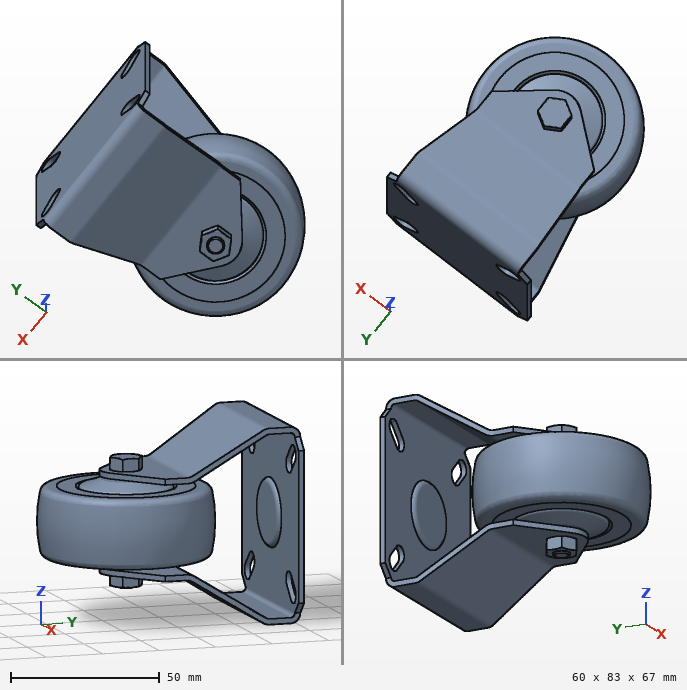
import cadquery as cq
import math


wheel_diameter = 60.0
wheel_radius = wheel_diameter / 2
wheel_half_width = 11.95
crown_radius = 49.8
tyre_edge_fillet = 2.5
hub_diameter = 46.7

cap_diameter = 32.0
cap_cone_diameter = 30.6
cap_cone_z = 12.45
cap_top_radius = 8.7
cap_top_z = 14.5
cap_seat_z = 10.0
cap_opening_diameter = 34.0

shaft_diameter = 6.0
shaft_end_diameter = 4.9
shaft_end_projection = 0.7
shoulder_diameter = 7.9
shoulder_projection = 0.25
hex_width = 10.0
hex_height = 4.5
hex_chamfer_drop = 0.25

overall_length = 83.0
sheet = 2.0
bracket_height = 67.0
bracket_half_height = bracket_height / 2
plate_back_y = overall_length - wheel_radius
plate_half_width = wheel_radius
flange_half_width = 26.0
plate_bend_radius = 3.5
flange_depth = 10.95
slope_end_depth = 38.9
bend_radius = 4.0
fork_inner_z = 15.5
fork_outer_z = fork_inner_z + sheet
fork_half_width = 22.0
fork_corner_y = 6.5
fork_tip_radius = 9.0
shoulder_hole_diameter = 8.0

slot_width = 6.0
slot_outer_offset = 24.0
slot_travel = 6.0
boss_radius = 12.0
boss_height = 1.3
boss_rim_fillet = 2.0

hex_top_z = fork_outer_z + hex_height


def make_tyre():
    """Crowned ring with rounded edges."""
    edge_drop = crown_radius - math.sqrt(crown_radius**2 - wheel_half_width**2)
    edge_radius = wheel_radius - edge_drop
    bore_radius = hub_diameter / 2
    tyre = (
        cq.Workplane("XZ")
        .moveTo(bore_radius, -wheel_half_width)
        .lineTo(edge_radius, -wheel_half_width)
        .threePointArc((wheel_radius, 0), (edge_radius, wheel_half_width))
        .lineTo(bore_radius, wheel_half_width)
        .close()
        .revolve(360, (0, 0, 0), (0, 1, 0))
    )
    outer_rims = cq.selectors.RadiusNthSelector(-1)
    return tyre.faces("<Z or >Z").edges(outer_rims).fillet(tyre_edge_fillet)


def make_hub():
    """Disc inside the tyre, with a chamfered seat for a cap on each side."""
    hub = (
        cq.Workplane("XY")
        .circle(hub_diameter / 2)
        .circle(shaft_diameter / 2)
        .extrude(wheel_half_width, both=True)
    )
    seat_depth = wheel_half_width - cap_seat_z
    seat_chamfer = (cap_opening_diameter - cap_diameter) / 2
    for side in (">Z", "<Z"):
        hub = hub.faces(side).workplane().circle(cap_diameter / 2).cutBlind(-seat_depth)
        hub = hub.faces(side).edges(cq.selectors.RadiusNthSelector(0)).chamfer(seat_chamfer)
    return hub


def make_cap():
    """Conical cover on the +Z side of the hub, with a rounded rim."""
    rim_radius = cap_diameter / 2
    cone_radius = cap_cone_diameter / 2
    bore_radius = shaft_diameter / 2
    slope = math.atan2(cap_top_z - cap_cone_z, cone_radius - cap_top_radius)
    rim_fillet = (rim_radius - cone_radius) / (1 - math.sin(slope))
    center_r = rim_radius - rim_fillet
    center_z = cap_cone_z - rim_fillet * math.cos(slope)
    mid_angle = (math.pi / 2 - slope) / 2
    arc_middle = (
        center_r + rim_fillet * math.cos(mid_angle),
        center_z + rim_fillet * math.sin(mid_angle),
    )
    return (
        cq.Workplane("XZ")
        .moveTo(bore_radius, cap_seat_z)
        .lineTo(rim_radius, cap_seat_z)
        .lineTo(rim_radius, center_z)
        .threePointArc(arc_middle, (cone_radius, cap_cone_z))
        .lineTo(cap_top_radius, cap_top_z)
        .lineTo(bore_radius, cap_top_z)
        .close()
        .revolve(360, (0, 0, 0), (0, 1, 0))
    )


def make_hex(bottom_z):
    """Hexagonal prism with corners toward +Y and -Y, both ends chamfered."""
    corner_radius = hex_width / math.sqrt(3)
    flat_radius = hex_width / 2
    prism = (
        cq.Workplane("XY")
        .workplane(offset=bottom_z)
        .transformed(rotate=(0, 0, 90))
        .polygon(6, 2 * corner_radius)
        .extrude(hex_height)
    )
    top_z = bottom_z + hex_height
    envelope = (
        cq.Workplane("XZ")
        .moveTo(0, bottom_z)
        .lineTo(flat_radius, bottom_z)
        .lineTo(corner_radius, bottom_z + hex_chamfer_drop)
        .lineTo(corner_radius, top_z - hex_chamfer_drop)
        .lineTo(flat_radius, top_z)
        .lineTo(0, top_z)
        .close()
        .revolve(360, (0, 0, 0), (0, 1, 0))
    )
    return prism.intersect(envelope)


def make_bolt():
    """Hex head above the upper fork arm, a shoulder in that arm and a long shaft."""
    shoulder_bottom_z = fork_inner_z - shoulder_projection
    shaft_end_z = -hex_top_z - shaft_end_projection
    end_chamfer = (shaft_diameter - shaft_end_diameter) / 2
    shaft = (
        cq.Workplane("XY")
        .workplane(offset=shaft_end_z)
        .circle(shaft_diameter / 2)
        .extrude(fork_outer_z - shaft_end_z)
        .faces("<Z")
        .chamfer(end_chamfer)
    )
    shoulder = (
        cq.Workplane("XY")
        .workplane(offset=shoulder_bottom_z)
        .circle(shoulder_diameter / 2)
        .extrude(fork_outer_z - shoulder_bottom_z)
    )
    return make_hex(fork_outer_z).union(shoulder).union(shaft)


def make_nut():
    """Hex nut under the lower fork arm."""
    bore = (
        cq.Workplane("XY")
        .workplane(offset=-hex_top_z)
        .circle(shaft_diameter / 2)
        .extrude(hex_height)
    )
    return make_hex(-hex_top_z).cut(bore)


def fillet_bends(body, points, radius):
    """Round the bend edges, parallel to X, that pass through the given (y, z) points and their mirrors."""
    for y, z in points:
        for side in (1, -1):
            nearest = cq.selectors.NearestToPointSelector((0, y, side * z))
            body = body.edges("|X").edges(nearest).fillet(radius)
    return body


def make_bent_sheet():
    """C-shaped strip: back plate, two flanges, two sloping webs and two fork arms."""
    drop = bracket_half_height - fork_outer_z
    run = slope_end_depth - flange_depth
    angle = 2 * math.atan2(drop, run + math.sqrt(run**2 - drop * (4 * bend_radius - drop)))
    tangent = bend_radius * math.tan(angle / 2)
    miter = sheet * math.tan(angle / 2)

    flange_corner = (plate_back_y - flange_depth - tangent, bracket_half_height)
    arm_corner = (plate_back_y - slope_end_depth + tangent, fork_outer_z)
    back_corner = (plate_back_y, bracket_half_height)
    inner_back_corner = (plate_back_y - sheet, bracket_half_height - sheet)
    inner_flange_corner = (flange_corner[0] + miter, bracket_half_height - sheet)
    inner_arm_corner = (arm_corner[0] + miter, fork_inner_z)
    upper_half = [
        inner_back_corner,
        inner_flange_corner,
        inner_arm_corner,
        (-fork_tip_radius, fork_inner_z),
        (-fork_tip_radius, fork_outer_z),
        arm_corner,
        flange_corner,
        back_corner,
    ]
    lower_half = [(y, -z) for y, z in reversed(upper_half)]
    strip = (
        cq.Workplane("YZ")
        .polyline(upper_half + lower_half)
        .close()
        .extrude(plate_half_width, both=True)
    )
    strip = fillet_bends(strip, [back_corner], plate_bend_radius)
    strip = fillet_bends(strip, [inner_back_corner], plate_bend_radius - sheet)
    strip = fillet_bends(strip, [flange_corner, arm_corner], bend_radius)
    strip = fillet_bends(strip, [inner_flange_corner], bend_radius - sheet)
    return fillet_bends(strip, [inner_arm_corner], bend_radius + sheet)


def make_plan_outline():
    """Prism along Z: full-width plate, tapered webs and fork arms rounded about the axle."""
    corner_distance = math.hypot(fork_half_width, fork_corner_y)
    tangent_angle = math.atan2(fork_corner_y, fork_half_width) - math.acos(fork_tip_radius / corner_distance)
    tangent_x = fork_tip_radius * math.cos(tangent_angle)
    tangent_y = fork_tip_radius * math.sin(tangent_angle)
    plate_front_y = plate_back_y - sheet
    taper_start_y = plate_back_y - flange_depth
    taper_end_y = plate_back_y - slope_end_depth
    return (
        cq.Workplane("XY")
        .moveTo(-plate_half_width, plate_back_y)
        .lineTo(-plate_half_width, plate_front_y)
        .lineTo(-flange_half_width, plate_front_y)
        .lineTo(-flange_half_width, taper_start_y)
        .lineTo(-fork_half_width, taper_end_y)
        .lineTo(-fork_half_width, fork_corner_y)
        .lineTo(-tangent_x, tangent_y)
        .threePointArc((0, -fork_tip_radius), (tangent_x, tangent_y))
        .lineTo(fork_half_width, fork_corner_y)
        .lineTo(fork_half_width, taper_end_y)
        .lineTo(flange_half_width, taper_start_y)
        .lineTo(flange_half_width, plate_front_y)
        .lineTo(plate_half_width, plate_front_y)
        .lineTo(plate_half_width, plate_back_y)
        .close()
        .extrude(bracket_half_height, both=True)
    )


def make_front_outline():
    """Prism along Y that cuts the plate corners at 45 degrees down to the flange width."""
    corner_cut = plate_half_width - flange_half_width
    corner_z = flange_half_width + corner_cut
    half = [
        (flange_half_width, bracket_half_height),
        (flange_half_width, corner_z),
        (plate_half_width, flange_half_width),
    ]
    right_side = half + [(x, -z) for x, z in reversed(half)]
    left_side = [(-x, z) for x, z in reversed(right_side)]
    return (
        cq.Workplane("XZ", origin=(0, plate_back_y, 0))
        .polyline(right_side + left_side)
        .close()
        .extrude(plate_back_y + fork_tip_radius)
    )


def make_slot(x_side, z_side):
    """Diagonal mounting slot in one corner of the plate, pointing at the plate center."""
    slot_center = slot_outer_offset - slot_travel / (2 * math.sqrt(2))
    return (
        cq.Workplane("XZ", origin=(0, plate_back_y, 0))
        .center(x_side * slot_center, z_side * slot_center)
        .slot2D(slot_travel + slot_width, slot_width, 45 * x_side * z_side)
        .extrude(sheet)
    )


def make_boss():
    """Low round boss on the wheel side of the plate, its rounded rim running into the sheet."""
    base_y = plate_back_y - sheet / 2
    return (
        cq.Workplane("XZ", origin=(0, base_y, 0))
        .circle(boss_radius)
        .extrude(sheet / 2 + boss_height)
        .faces("<Y")
        .edges()
        .fillet(boss_rim_fillet)
    )


def make_bracket():
    """Bent sheet trimmed to outline, with mounting slots, boss and axle holes."""
    bracket = make_bent_sheet().intersect(make_plan_outline()).intersect(make_front_outline())
    for x_side in (1, -1):
        for z_side in (1, -1):
            bracket = bracket.cut(make_slot(x_side, z_side))
    bracket = bracket.union(make_boss())
    shoulder_hole = cq.Workplane("XY").circle(shoulder_hole_diameter / 2).extrude(bracket_half_height)
    shaft_hole = cq.Workplane("XY").circle(shaft_diameter / 2).extrude(-bracket_half_height)
    return bracket.cut(shoulder_hole).cut(shaft_hole)


bracket = make_bracket()
tyre = make_tyre()
hub = make_hub()
bolt = make_bolt()
nut = make_nut()
caps = []
for turn in (0, 180):
    caps.append(make_cap().rotate((0, 0, 0), (1, 0, 0), turn).val())

result = cq.Compound.makeCompound(
    [bracket.val(), tyre.val(), hub.val(), *caps, bolt.val(), nut.val()]
)